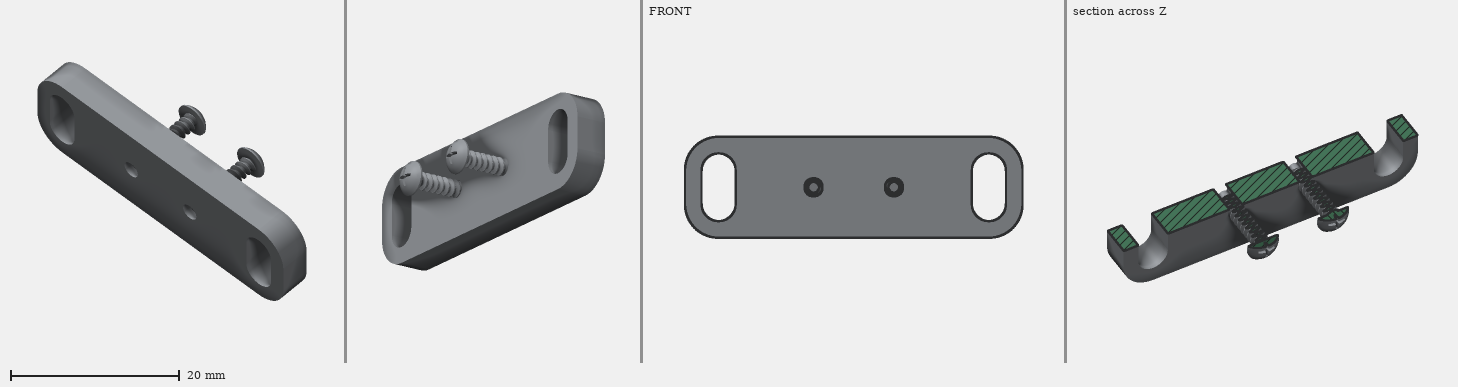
import cadquery as cq
import math

plate_length = 40.0
plate_height = 12.0
plate_thickness = 4.0
corner_radius = 4.0
slot_width = 4.0
slot_height = 8.0
slot_offset = 16.0

screw_offset = 4.75
overall_depth = 11.7
screw_length = 9.6

thread_length = 8.65
thread_diameter = 2.15
core_diameter = 1.3
thread_pitch = 0.8
crest_width = 0.1
root_width = 0.6
flank_points = 6

head_diameter = 4.25
head_height = 1.3
rim_height = 0.2
recess_length = 2.4
recess_width = 0.45
recess_depth = 0.8
recess_taper = 15.0

core_radius = core_diameter / 2
thread_radius = thread_diameter / 2
screw_hole_diameter = thread_diameter
seat_y = overall_depth - head_height


def make_plate():
    """Rounded plate with two end slots and two through holes for the screws."""
    blank = (
        cq.Workplane("XZ")
        .rect(plate_length, plate_height)
        .extrude(-plate_thickness)
        .edges("|Y")
        .fillet(corner_radius)
    )
    slots = (
        cq.Workplane("XZ")
        .pushPoints([(-slot_offset, 0), (slot_offset, 0)])
        .slot2D(slot_height, slot_width, 90)
        .extrude(-plate_thickness)
    )
    screw_holes = (
        cq.Workplane("XZ")
        .pushPoints([(-screw_offset, 0), (screw_offset, 0)])
        .circle(screw_hole_diameter / 2)
        .extrude(-plate_thickness)
    )
    return blank.cut(slots).cut(screw_holes)


def make_head():
    """Domed head with a short upright rim, its seat at Z = 0 and its top towards +Z."""
    head_radius = head_diameter / 2
    dome_height = head_height - rim_height
    dome_radius = (head_radius**2 + dome_height**2) / (2 * dome_height)
    half_angle = math.asin(head_radius / dome_radius) / 2
    dome_middle = (
        dome_radius * math.sin(half_angle),
        head_height - dome_radius * (1 - math.cos(half_angle)),
    )
    return (
        cq.Workplane("XZ")
        .lineTo(head_radius, 0)
        .lineTo(head_radius, rim_height)
        .threePointArc(dome_middle, (0, head_height))
        .close()
        .revolve(360, (0, 0), (0, 1))
    )


def make_recess():
    """Tapered cross recess, sunk from the top of the head."""
    cross = (
        cq.Sketch()
        .rect(recess_length, recess_width)
        .rect(recess_width, recess_length)
        .clean()
    )
    return (
        cq.Workplane("XY", origin=(0, 0, head_height))
        .placeSketch(cross)
        .extrude(-recess_depth, taper=recess_taper)
    )


def polar(radius, angle):
    """Point at the given radius and angle (radians)."""
    return (radius * math.cos(angle), radius * math.sin(angle))


def flank_curve(start_radius, start_angle, end_radius, end_angle):
    """Points after the start of a spiral whose radius changes evenly with its angle."""
    steps = [i / flank_points for i in range(1, flank_points + 1)]
    return [
        polar(
            start_radius + (end_radius - start_radius) * step,
            start_angle + (end_angle - start_angle) * step,
        )
        for step in steps
    ]


def make_threaded_shank():
    """Core and right-handed thread in one, by twisting their cross-section along the axis.

    One pitch along the axis is one full turn, so the tooth widths become angles in the
    cross-section: a lobe with spiral flanks and a round crest, on a round core.
    """
    crest_angle = math.pi * crest_width / thread_pitch
    root_angle = math.pi * root_width / thread_pitch
    rising_flank = flank_curve(core_radius, -root_angle, thread_radius, -crest_angle)
    falling_flank = flank_curve(thread_radius, crest_angle, core_radius, root_angle)
    return (
        cq.Workplane("XY", origin=(0, 0, -thread_length))
        .moveTo(*polar(core_radius, -root_angle))
        .spline(rising_flank, includeCurrent=True)
        .threePointArc(polar(thread_radius, 0), polar(thread_radius, crest_angle))
        .spline(falling_flank, includeCurrent=True)
        .threePointArc(polar(core_radius, math.pi), polar(core_radius, -root_angle))
        .close()
        .twistExtrude(thread_length, 360 * thread_length / thread_pitch)
    )


def make_tip():
    """Plain end of the core, beyond the thread."""
    return (
        cq.Workplane("XY", origin=(0, 0, -screw_length))
        .circle(core_radius)
        .extrude(screw_length - thread_length)
    )


def make_screw(x, turn):
    """Screw at the given X, turned about its own axis by the given degrees."""
    head = make_head().cut(make_recess())
    screw = make_threaded_shank().union(make_tip(), clean=False).union(head, clean=False)
    return (
        screw.rotate((0, 0, 0), (0, 0, 1), turn)
        .rotate((0, 0, 0), (1, 0, 0), -90)
        .translate((x, seat_y, 0))
    )


plate = make_plate()
screws = [make_screw(x, turn) for x, turn in [(-screw_offset, 0), (screw_offset, 180)]]

result = cq.Compound.makeCompound([plate.val(), *[screw.val() for screw in screws]])